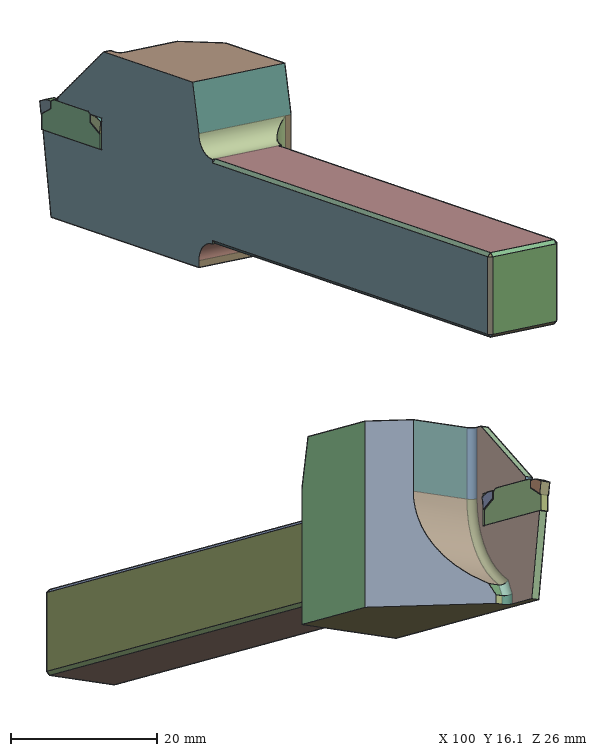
import cadquery as cq
import math

LENGTH = 100.0
HEAD_HEIGHT = 26.0
HEAD_THICKNESS = 16.0
HEAD_BACK_X = 35.3
HEAD_TOP_BACK_X = 33.9
HEAD_TOP_FRONT_X = 14.1
HEAD_BOTTOM_FRONT_X = 2.4

SHANK_SIDE = 12.0
SHANK_BOTTOM_Z = 4.0
SHANK_TOP_Z = SHANK_BOTTOM_Z + SHANK_SIDE
SHANK_CHAMFER = 0.5
NECK_RADIUS = 3.0
NECK_END_X = HEAD_BACK_X + NECK_RADIUS

BLADE_THICKNESS = 1.2
RELIEF_WALL_X = 16.0
RELIEF_RADIUS = 15.5
RELIEF_ARC_BOTTOM_Z = 2.8
RELIEF_FOOT_X = 7.9
RELIEF_FOOT_Z = 1.2
RELIEF_FILLET = 1.0
BEVEL_START_X = 20.7

JAW_TIP_X = 3.9
JAW_TIP_Z = 17.3

CUT_HEIGHT = SHANK_TOP_Z
INSERT_LENGTH = 13.6
INSERT_BOTTOM_Z = 12.0
INSERT_TOP_Z = 16.8
RAKE_TOP_Z = 16.5
RAKE_END = 1.3
CHIP_FLAT_END = 2.4
TOP_START = 3.0
EDGE_FOOT_Z = 14.2
BODY_END = 0.3
TIP_NECK_Z = 15.4
TIP_WIDTH = 1.5
TIP_OVERHANG = 0.1
BODY_WIDTH = BLADE_THICKNESS
POCKET_FRONT_X = 0.6

CLEARANCE = 1.0


def extrude_y(sketch, y_start, y_end):
    """Extrude a closed XZ outline from y_start to y_end."""
    return sketch.extrude(y_start - y_end).translate((0, y_start, 0))


def make_head():
    """Holder head with its concave necks at the shank."""
    diagonal = NECK_RADIUS * math.sqrt(0.5)
    lower_center_z = SHANK_BOTTOM_Z - NECK_RADIUS
    upper_center_z = SHANK_TOP_Z + NECK_RADIUS
    lower_mid = (NECK_END_X - diagonal, lower_center_z + diagonal)
    upper_mid = (NECK_END_X - diagonal, upper_center_z - diagonal)
    outline = (
        cq.Workplane("XZ")
        .moveTo(HEAD_BOTTOM_FRONT_X, 0)
        .lineTo(HEAD_BACK_X, 0)
        .lineTo(HEAD_BACK_X, lower_center_z)
        .threePointArc(lower_mid, (NECK_END_X, SHANK_BOTTOM_Z))
        .lineTo(NECK_END_X, SHANK_TOP_Z)
        .threePointArc(upper_mid, (HEAD_BACK_X, upper_center_z))
        .lineTo(HEAD_TOP_BACK_X, HEAD_HEIGHT)
        .lineTo(HEAD_TOP_FRONT_X, HEAD_HEIGHT)
        .lineTo(JAW_TIP_X, JAW_TIP_Z)
        .lineTo(JAW_TIP_X, INSERT_TOP_Z)
        .lineTo(POCKET_FRONT_X, INSERT_TOP_Z)
        .lineTo(POCKET_FRONT_X, INSERT_BOTTOM_Z)
        .close()
    )
    return extrude_y(outline, 0, HEAD_THICKNESS)


def make_neck_cut():
    """Round the inside corner between head and shank on the thick side."""
    center_y = SHANK_SIDE + NECK_RADIUS
    diagonal = NECK_RADIUS * math.sqrt(0.5)
    return (
        cq.Workplane("XY")
        .moveTo(HEAD_BACK_X, HEAD_THICKNESS)
        .lineTo(HEAD_BACK_X, center_y)
        .threePointArc((NECK_END_X - diagonal, center_y - diagonal), (NECK_END_X, SHANK_SIDE))
        .lineTo(NECK_END_X, HEAD_THICKNESS)
        .close()
        .extrude(HEAD_HEIGHT)
    )


def make_shank():
    """Square shank with chamfered long edges and end."""
    shank = cq.Workplane("XY").box(LENGTH - NECK_END_X, SHANK_SIDE, SHANK_SIDE, centered=False)
    shank = shank.edges("|X or >X").chamfer(SHANK_CHAMFER)
    return shank.translate((NECK_END_X, 0, SHANK_BOTTOM_Z))


def make_relief():
    """Space in front of the curved wall, with a rounded edge along the blade."""
    center_x = RELIEF_WALL_X - RELIEF_RADIUS
    end_angle = math.asin((CUT_HEIGHT - RELIEF_ARC_BOTTOM_Z) / RELIEF_RADIUS)
    arc_mid = (center_x + RELIEF_RADIUS * math.cos(end_angle / 2),
               CUT_HEIGHT - RELIEF_RADIUS * math.sin(end_angle / 2))
    arc_end = (center_x + RELIEF_RADIUS * math.cos(end_angle), RELIEF_ARC_BOTTOM_Z)
    top_z = HEAD_HEIGHT + CLEARANCE
    front_x = -CLEARANCE
    outline = (
        cq.Workplane("XZ")
        .moveTo(front_x, top_z)
        .lineTo(RELIEF_WALL_X, top_z)
        .lineTo(RELIEF_WALL_X, CUT_HEIGHT)
        .threePointArc(arc_mid, arc_end)
        .lineTo(RELIEF_FOOT_X, RELIEF_FOOT_Z)
        .lineTo(RELIEF_FOOT_X, -CLEARANCE)
        .lineTo(front_x, -CLEARANCE)
        .close()
    )
    relief = extrude_y(outline, BLADE_THICKNESS, HEAD_THICKNESS + CLEARANCE)
    return relief.faces("<Y").edges().fillet(RELIEF_FILLET)


def make_bevel():
    """Corner removed by the 45 degree bevel, leaving the blade whole."""
    leg = HEAD_THICKNESS - BLADE_THICKNESS
    return (
        cq.Workplane("XY")
        .moveTo(BEVEL_START_X, HEAD_THICKNESS)
        .lineTo(BEVEL_START_X - leg, BLADE_THICKNESS)
        .lineTo(-CLEARANCE, BLADE_THICKNESS)
        .lineTo(-CLEARANCE, HEAD_THICKNESS)
        .close()
        .extrude(HEAD_HEIGHT)
    )


def make_pocket():
    """Insert seat, open at the front and through the blade."""
    outline = cq.Workplane("XZ").polyline([
        (-CLEARANCE, INSERT_BOTTOM_Z),
        (INSERT_LENGTH, INSERT_BOTTOM_Z),
        (INSERT_LENGTH, RAKE_TOP_Z),
        (INSERT_LENGTH - CHIP_FLAT_END, RAKE_TOP_Z),
        (INSERT_LENGTH - TOP_START, INSERT_TOP_Z),
        (-CLEARANCE, INSERT_TOP_Z),
    ]).close()
    return extrude_y(outline, -CLEARANCE, TIP_WIDTH - TIP_OVERHANG)


def make_holder():
    holder = make_head().cut(make_neck_cut()).union(make_shank())
    return holder.cut(make_bevel()).cut(make_relief()).cut(make_pocket())


def make_insert_body():
    """Narrow central body carrying the raised clamping surface."""
    half = [
        (BODY_END, INSERT_BOTTOM_Z),
        (BODY_END, EDGE_FOOT_Z),
        (CHIP_FLAT_END, TIP_NECK_Z),
        (CHIP_FLAT_END, RAKE_TOP_Z),
        (TOP_START, INSERT_TOP_Z),
    ]
    other_half = [(INSERT_LENGTH - x, z) for x, z in reversed(half)]
    outline = cq.Workplane("XZ").polyline(half + other_half).close()
    return extrude_y(outline, 0, BODY_WIDTH)


def make_cutting_tip():
    """Wider front tip with its sloping rake face."""
    outline = cq.Workplane("XZ").polyline([
        (BODY_END, EDGE_FOOT_Z),
        (0, CUT_HEIGHT),
        (RAKE_END, RAKE_TOP_Z),
        (CHIP_FLAT_END, RAKE_TOP_Z),
        (CHIP_FLAT_END, TIP_NECK_Z),
    ]).close()
    return extrude_y(outline, -TIP_OVERHANG, TIP_WIDTH - TIP_OVERHANG)


def make_insert():
    front_tip = make_cutting_tip()
    rear_tip = front_tip.mirror("YZ").translate((INSERT_LENGTH, 0, 0))
    return make_insert_body().union(front_tip).union(rear_tip)


holder = make_holder()
insert = make_insert()
result = cq.Compound.makeCompound([holder.solids().val(), insert.solids().val()])